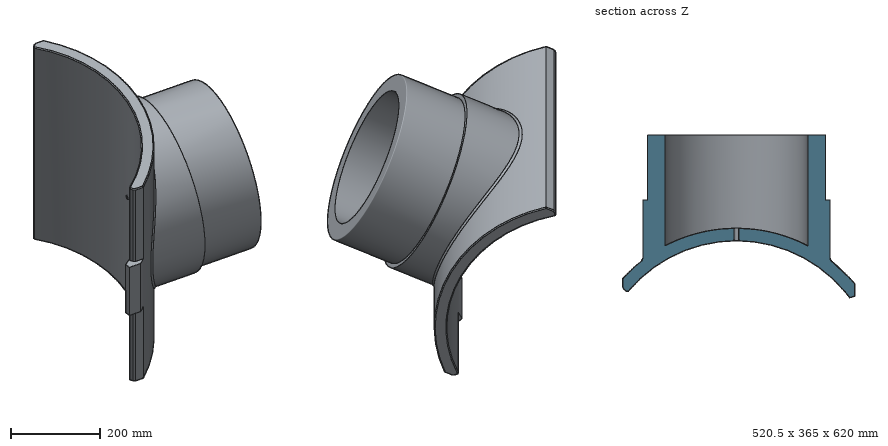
import cadquery as cq
import math

height = 620.0
inner_radius = 316.0
thickness = 28.5
outer_radius = inner_radius + thickness
plate_half_width = 255.0
plate_tip_y = 201.0
plate_side_length = 22.5
edge_chamfer = 2.5
tip_chamfer = 3.0

tab_reach = 265.5
tab_tip_y = 188.5
tab_side_length = 28.0
tab_height = 155.0

collar_diameter = 420.0
collar_end_y = 408.0
spigot_diameter = 400.0
spigot_end_y = 553.5
bore_diameter = 320.0
rim_fillet = 2.0
weld_size = 4.0
pilot_diameter = 10.0


def arc_height(radius, x):
    """Y of a circle centred on the Z axis at the given x."""
    return math.sqrt(radius**2 - x**2)


def edge_points(reach, tip_y, side_length):
    """Outer corner, lower side corner and inner tip of a +X plate edge."""
    side_top = arc_height(outer_radius, reach)
    tip_x = arc_height(inner_radius, tip_y)
    return (reach, side_top), (reach, side_top - side_length), (tip_x, tip_y)


def mirrored(point):
    return (-point[0], point[1])


def cylinder_y(diameter, start_y, end_y):
    """Cylinder along +Y between two positions."""
    sketch = cq.Workplane("XZ", origin=(0, start_y, 0)).circle(diameter / 2)
    return sketch.extrude(start_y - end_y)


def saddle_plate():
    corner, side_end, tip = edge_points(plate_half_width, plate_tip_y, plate_side_length)
    plate = (
        cq.Workplane("XY", origin=(0, 0, -height / 2))
        .moveTo(*mirrored(corner))
        .threePointArc((0, outer_radius), corner)
        .lineTo(*side_end)
        .lineTo(*tip)
        .threePointArc((0, inner_radius), mirrored(tip))
        .lineTo(*mirrored(side_end))
        .close()
        .extrude(height)
    )
    lower_edges = cq.selectors.BoxSelector(
        (-outer_radius, 0, -height),
        (outer_radius, corner[1] - plate_side_length / 2, height),
    )
    plate = plate.edges("|Z").edges(lower_edges).chamfer(tip_chamfer)
    return plate.faces("|Z").edges().chamfer(edge_chamfer)


def edge_tab():
    corner, side_end, tip = edge_points(tab_reach, tab_tip_y, tab_side_length)
    root_angle = math.radians(45)
    middle_angle = (root_angle + math.atan2(corner[1], corner[0])) / 2

    def on_arc(radius, angle):
        return (radius * math.cos(angle), radius * math.sin(angle))

    return (
        cq.Workplane("XY", origin=(0, 0, -tab_height / 2))
        .moveTo(*on_arc(outer_radius, root_angle))
        .threePointArc(on_arc(outer_radius, middle_angle), corner)
        .lineTo(*side_end)
        .lineTo(*tip)
        .threePointArc(on_arc(inner_radius, middle_angle), on_arc(inner_radius, root_angle))
        .close()
        .extrude(tab_height)
    )


def branch():
    """Solid stepped branch, hollowed later."""
    start_y = inner_radius / 2
    collar = cylinder_y(collar_diameter, start_y, collar_end_y)
    spigot = cylinder_y(spigot_diameter, start_y, spigot_end_y)
    spigot = spigot.faces(">Y").edges().fillet(rim_fillet)
    return collar.union(spigot)


plate_core = cq.Workplane("XY").circle(outer_radius).extrude(height / 2, both=True)
inner_core = cq.Workplane("XY").circle(inner_radius).extrude(height / 2, both=True)

body = saddle_plate().union(branch().cut(inner_core))
joint_reach = collar_diameter / 2 + weld_size
joint_box = cq.selectors.BoxSelector(
    (-joint_reach, arc_height(outer_radius, joint_reach), -joint_reach),
    (joint_reach, outer_radius + weld_size, joint_reach),
    boundingbox=True,
)
body = body.edges(joint_box).edges("not %LINE").chamfer(weld_size)
body = body.union(edge_tab())

bore = cylinder_y(bore_diameter, 0, spigot_end_y).cut(plate_core)
pilot = cylinder_y(pilot_diameter, 0, spigot_end_y)
result = body.cut(bore).cut(pilot)